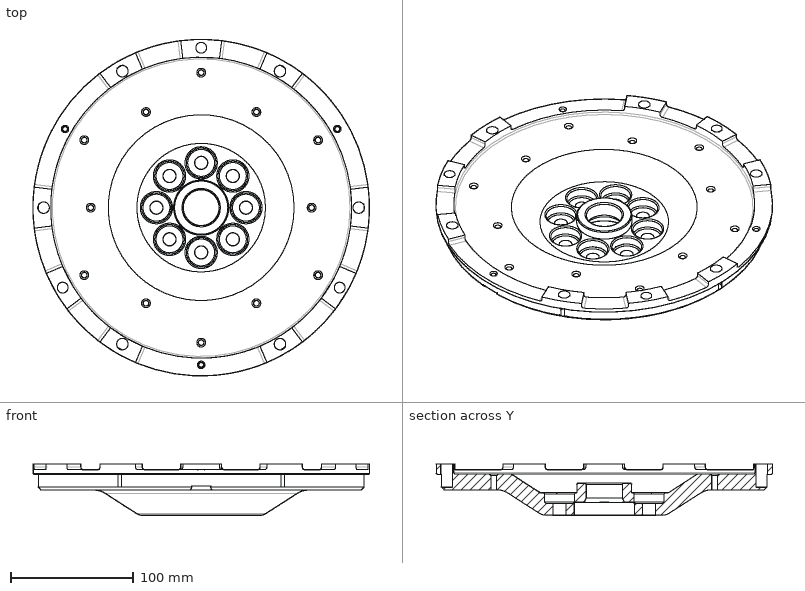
import cadquery as cq
import math

DISC_BOTTOM = 20.5
BODY_CHAMFER_TOP = 23.0
FLANGE_BOTTOM = 33.3
DISC_TOP = 33.8
RING_TOP = 37.5
PAD_TOP = 42.0
FLOOR_TOP = 18.7
HUB_TOP = 26.5

RIM_RADIUS = 137.5
FLANGE_CHAMFER = 0.8
BODY_RADIUS = 133.0
BODY_CHAMFER = 2.2
RING_INNER_RADIUS = 123.0
RING_FOOT_FILLET = 1.5
DISH_TOP_RADIUS = 76.0
DISH_FLOOR_RADIUS = 52.5
CONE_TOP_RADIUS = 82.8
CONE_BOTTOM_RADIUS = 50.5
CONE_TOP_FILLET = 16.5
CONE_BOTTOM_FILLET = 9.5

HUB_RADIUS = 22.5
HUB_CHAMFER = 0.8
BORE_RADIUS = 14.5
BORE_CHAMFER = 1.0
BORE_LEAD_IN_WIDTH = 2.0
BORE_LEAD_IN_HEIGHT = 3.3
RECESS_RADIUS = 24.5
RECESS_DEPTH = 10.7

BOLT_COUNT = 8
BOLT_CIRCLE_RADIUS = 36.5
BOLT_HOLE_RADIUS = 5.2
COUNTERBORE_RADIUS = 12.0
COUNTERBORE_DEPTH = 8.8
COUNTERBORE_CHAMFER = 1.0

BOLTED_PAD_ANGLES = [0, 60, 120, 180, 240, 300]
DOWEL_PAD_ANGLES = [90, 210, 330]
PAD_HALF_ANGLE = 7
PAD_BASE_FILLET = 2.2
PAD_HOLE_CIRCLE_RADIUS = 128.7
PAD_HOLE_RADIUS = 4.7
DOWEL_CIRCLE_RADIUS = 130.5
DOWEL_HOLE_RADIUS = 4.5
DOWEL_HOLE_DEPTH = 7.0

DISC_HOLE_RADIUS = 2.2
DISC_COUNTERSINK_RADIUS = 3.5
DISC_HOLES_PER_CIRCLE = 6
INNER_HOLE_CIRCLE_RADIUS = 90.2
OUTER_HOLE_CIRCLE_RADIUS = 110.2
RING_HOLE_RADIUS = 2.0
RING_COUNTERSINK_RADIUS = 3.0
RING_HOLE_CIRCLE_RADIUS = 128.5
RING_HOLE_ANGLES = [30, 150, 270]
SPOTFACE_RADIUS = 8.8
SPOTFACE_TOP = 24.0

GAP_OVERRUN = 2.7

FILLET_SAG = 1 - math.sqrt(0.5)


def polar(radius, angle):
    """Point at a radius and an angle in degrees around the part axis."""
    turn = math.radians(angle)
    return (radius * math.cos(turn), radius * math.sin(turn))


def even_angles(count, start=0):
    return [start + 360 * index / count for index in range(count)]


def cylinders(radius, bottom, top, circle_radius, angles):
    """Upright cylinders spread around a circle."""
    points = [polar(circle_radius, angle) for angle in angles]
    plane = cq.Workplane("XY").workplane(offset=bottom)
    return plane.pushPoints(points).circle(radius).extrude(top - bottom)


def countersinks(hole_radius, mouth_radius, top, circle_radius, angles):
    """45 degree cones that open upward at the given height."""
    depth = mouth_radius - hole_radius
    cone = cq.Solid.makeCone(hole_radius, mouth_radius, depth)
    cones = cq.Workplane("XY")
    for angle in angles:
        x, y = polar(circle_radius, angle)
        cones = cones.add(cone.translate(cq.Vector(x, y, top - depth)))
    return cones.combine()


def make_body():
    """Dished disc with a full-height rim ring and hub, revolved in one piece."""
    foot = RING_FOOT_FILLET
    foot_middle = (RING_INNER_RADIUS - foot * FILLET_SAG, DISC_TOP + foot * FILLET_SAG)
    slope = math.atan2(DISC_BOTTOM, CONE_TOP_RADIUS - CONE_BOTTOM_RADIUS)
    run = math.cos(slope)
    rise = math.sin(slope)
    top_tangent = CONE_TOP_FILLET * math.tan(slope / 2)
    bottom_tangent = CONE_BOTTOM_FILLET * math.tan(slope / 2)
    profile = (
        cq.Workplane("XZ")
        .moveTo(BORE_RADIUS, RECESS_DEPTH + BORE_LEAD_IN_HEIGHT)
        .lineTo(BORE_RADIUS + BORE_LEAD_IN_WIDTH, RECESS_DEPTH)
        .lineTo(RECESS_RADIUS, RECESS_DEPTH)
        .lineTo(RECESS_RADIUS, 0)
        .lineTo(CONE_BOTTOM_RADIUS - bottom_tangent, 0)
        .tangentArcPoint(
            (CONE_BOTTOM_RADIUS + bottom_tangent * run, bottom_tangent * rise), relative=False
        )
        .lineTo(CONE_TOP_RADIUS - top_tangent * run, DISC_BOTTOM - top_tangent * rise)
        .tangentArcPoint((CONE_TOP_RADIUS + top_tangent, DISC_BOTTOM), relative=False)
        .lineTo(BODY_RADIUS - BODY_CHAMFER, DISC_BOTTOM)
        .lineTo(BODY_RADIUS, BODY_CHAMFER_TOP)
        .lineTo(BODY_RADIUS, FLANGE_BOTTOM)
        .lineTo(RIM_RADIUS - FLANGE_CHAMFER, FLANGE_BOTTOM)
        .lineTo(RIM_RADIUS, FLANGE_BOTTOM + FLANGE_CHAMFER)
        .lineTo(RIM_RADIUS, PAD_TOP)
        .lineTo(RING_INNER_RADIUS, PAD_TOP)
        .lineTo(RING_INNER_RADIUS, DISC_TOP + foot)
        .threePointArc(foot_middle, (RING_INNER_RADIUS - foot, DISC_TOP))
        .lineTo(DISH_TOP_RADIUS, DISC_TOP)
        .lineTo(DISH_FLOOR_RADIUS, FLOOR_TOP)
        .lineTo(HUB_RADIUS, FLOOR_TOP)
        .lineTo(HUB_RADIUS, HUB_TOP - HUB_CHAMFER)
        .lineTo(HUB_RADIUS - HUB_CHAMFER, HUB_TOP)
        .lineTo(BORE_RADIUS + BORE_CHAMFER, HUB_TOP)
        .lineTo(BORE_RADIUS, HUB_TOP - BORE_CHAMFER)
        .close()
    )
    return profile.revolve(360, (0, 0, 0), (0, 1, 0))


def make_gap(start, end):
    """Sector between two pads, with the bottom edges of its sides rounded."""
    middle = (start + end) / 2
    inner = RING_INNER_RADIUS - GAP_OVERRUN
    outer = RIM_RADIUS + GAP_OVERRUN
    sector = (
        cq.Workplane("XY")
        .workplane(offset=RING_TOP)
        .moveTo(*polar(inner, start))
        .lineTo(*polar(outer, start))
        .threePointArc(polar(outer, middle), polar(outer, end))
        .lineTo(*polar(inner, end))
        .threePointArc(polar(inner, middle), polar(inner, start))
        .close()
        .extrude(PAD_TOP - RING_TOP + GAP_OVERRUN)
    )
    return sector.faces("<Z").edges("%LINE").fillet(PAD_BASE_FILLET)


def cut_gaps(body):
    """Lower the rim between neighbouring pads, which leaves the pads standing."""
    angles = sorted(BOLTED_PAD_ANGLES + DOWEL_PAD_ANGLES)
    next_angles = angles[1:] + [angles[0] + 360]
    for angle, next_angle in zip(angles, next_angles):
        body = body.cut(make_gap(angle + PAD_HALF_ANGLE, next_angle - PAD_HALF_ANGLE))
    return body


def cut_bolt_holes(body):
    """Counterbored bolt holes in the dish floor."""
    angles = even_angles(BOLT_COUNT)
    seat = FLOOR_TOP - COUNTERBORE_DEPTH
    wall_foot = seat + COUNTERBORE_CHAMFER
    seat_radius = COUNTERBORE_RADIUS - COUNTERBORE_CHAMFER
    mouth = COUNTERBORE_RADIUS + COUNTERBORE_CHAMFER
    body = body.cut(cylinders(BOLT_HOLE_RADIUS, 0, seat, BOLT_CIRCLE_RADIUS, angles))
    body = body.cut(countersinks(seat_radius, COUNTERBORE_RADIUS, wall_foot, BOLT_CIRCLE_RADIUS, angles))
    body = body.cut(cylinders(COUNTERBORE_RADIUS, wall_foot, FLOOR_TOP, BOLT_CIRCLE_RADIUS, angles))
    return body.cut(countersinks(COUNTERBORE_RADIUS, mouth, FLOOR_TOP, BOLT_CIRCLE_RADIUS, angles))


def cut_pad_holes(body):
    """Deep holes that break out through the body wall, and shallow dowel holes."""
    deep = cylinders(
        PAD_HOLE_RADIUS, BODY_CHAMFER_TOP, PAD_TOP, PAD_HOLE_CIRCLE_RADIUS, BOLTED_PAD_ANGLES
    )
    shallow = cylinders(
        DOWEL_HOLE_RADIUS, PAD_TOP - DOWEL_HOLE_DEPTH, PAD_TOP, DOWEL_CIRCLE_RADIUS, DOWEL_PAD_ANGLES
    )
    return body.cut(deep).cut(shallow)


def cut_small_holes(body, hole_radius, mouth_radius, top, circle_radius, angles):
    """Countersunk holes that run right through the disc."""
    body = body.cut(cylinders(hole_radius, DISC_BOTTOM, top, circle_radius, angles))
    return body.cut(countersinks(hole_radius, mouth_radius, top, circle_radius, angles))


def cut_disc_holes(body):
    """Two hole circles in the disc, offset by half a step from each other."""
    half_step = 180 / DISC_HOLES_PER_CIRCLE
    for circle_radius, start in ((INNER_HOLE_CIRCLE_RADIUS, 0), (OUTER_HOLE_CIRCLE_RADIUS, half_step)):
        angles = even_angles(DISC_HOLES_PER_CIRCLE, start)
        body = cut_small_holes(
            body, DISC_HOLE_RADIUS, DISC_COUNTERSINK_RADIUS, DISC_TOP, circle_radius, angles
        )
    return body


def cut_ring_holes(body):
    """Holes through the ring, each with a shallow spotface on the underside."""
    body = cut_small_holes(
        body, RING_HOLE_RADIUS, RING_COUNTERSINK_RADIUS, RING_TOP, RING_HOLE_CIRCLE_RADIUS, RING_HOLE_ANGLES
    )
    return body.cut(cylinders(
        SPOTFACE_RADIUS, DISC_BOTTOM, SPOTFACE_TOP, RING_HOLE_CIRCLE_RADIUS, RING_HOLE_ANGLES
    ))


body = make_body()
body = cut_gaps(body)
body = cut_bolt_holes(body)
body = cut_pad_holes(body)
body = cut_disc_holes(body)
result = cut_ring_holes(body)